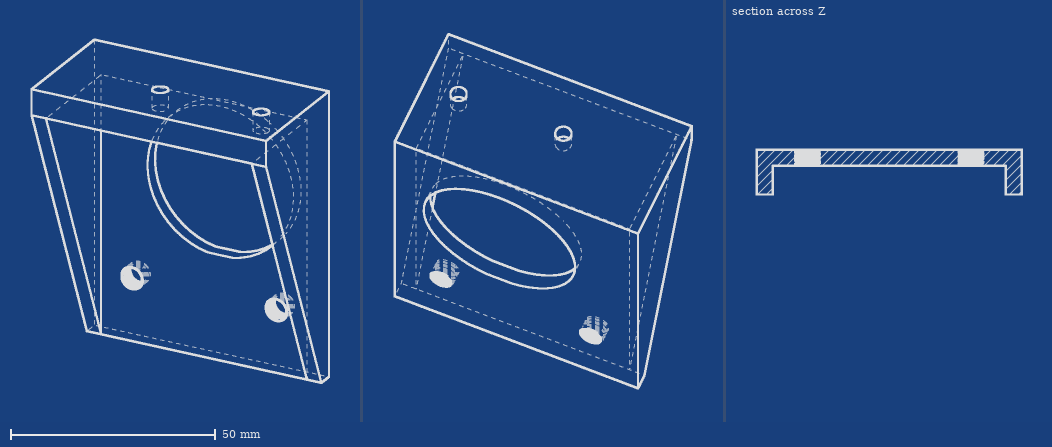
import cadquery as cq
import math

WIDTH = 65.0
DEPTH = 33.0
HEIGHT = 77.0

WALL = 4.0
TOP_THICKNESS = 7.0
BACK_PLATE_Y = DEPTH - WALL

WINDOW_DIAMETER = 40.45
WINDOW_X = 37.05
WINDOW_Z = 48.37
WINDOW_FLAT_WIDTH = 7.0

THREAD_MAJOR = 6.0
THREAD_MINOR = 5.0
THREAD_PITCH = 1.0
THREAD_LEAD_IN = 1.1 * THREAD_PITCH
THREAD_LENGTH = WALL + 3 * THREAD_PITCH
THREAD_ROOT_HALF = 0.15 * THREAD_PITCH
THREAD_MOUTH_HALF = 0.45 * THREAD_PITCH
THREAD_OVERLAP = 0.2
COUNTERSINK_DIAMETER = 5.9
THREAD_SPACING = 40.0
THREAD_FIRST_X = (WIDTH - THREAD_SPACING) / 2
THREAD_XS = (THREAD_FIRST_X, THREAD_FIRST_X + THREAD_SPACING)
THREAD_Z = 17.0

PIN_DIAMETER = 4.0
PIN_DEPTH = 5.0
PIN_Y = 14.5
PIN_XS = (28.0, 56.0)

BACKWARD = cq.Vector(0, 1, 0)
DOWNWARD = cq.Vector(0, 0, -1)


def bracket_body():
    """Wedge-shaped bracket with a cavity between the gussets."""
    outline = [
        (DEPTH, 0),
        (DEPTH, HEIGHT),
        (0, HEIGHT),
        (0, HEIGHT - TOP_THICKNESS),
        (BACK_PLATE_Y, 0),
    ]
    wedge = cq.Workplane("YZ").polyline(outline).close().extrude(WIDTH)
    cavity = cq.Workplane("XY").box(
        WIDTH - 2 * WALL, BACK_PLATE_Y, HEIGHT - TOP_THICKNESS, centered=False
    )
    return wedge.cut(cavity.translate((WALL, 0, 0)))


def window_cutter():
    """Round window whose lowest stretch is a level chord."""
    radius = WINDOW_DIAMETER / 2
    half_flat = WINDOW_FLAT_WIDTH / 2
    flat_drop = math.sqrt(radius**2 - half_flat**2)
    profile = (
        cq.Workplane("XZ", origin=(WINDOW_X, DEPTH, WINDOW_Z))
        .moveTo(-half_flat, -flat_drop)
        .threePointArc((0, radius), (half_flat, -flat_drop))
        .close()
    )
    return profile.extrude(WALL)


def thread_groove():
    """Helical groove along Y that overruns both faces of the back plate, which starts at y = 0."""
    root_radius = THREAD_MAJOR / 2
    crest_radius = THREAD_MINOR / 2
    inner_radius = crest_radius - THREAD_OVERLAP
    profile = [
        (inner_radius, -THREAD_MOUTH_HALF),
        (root_radius, -THREAD_ROOT_HALF),
        (root_radius, THREAD_ROOT_HALF),
        (inner_radius, THREAD_MOUTH_HALF),
    ]
    helix = cq.Workplane(cq.Wire.makeHelix(THREAD_PITCH, THREAD_LENGTH, crest_radius))
    groove = cq.Workplane("XZ").polyline(profile).close().sweep(helix, isFrenet=True)
    along_y = groove.rotate((0, 0, 0), (1, 0, 0), -90)
    return along_y.translate((0, -THREAD_LEAD_IN, 0))


def cut_threaded_hole(body, x):
    """Threaded through hole in the back plate with a small 45 degree countersink in front."""
    mouth = cq.Vector(x, BACK_PLATE_Y, THREAD_Z)
    bore_radius = THREAD_MINOR / 2
    sink_radius = COUNTERSINK_DIAMETER / 2
    bore = cq.Solid.makeCylinder(bore_radius, WALL, mouth, BACKWARD)
    countersink = cq.Solid.makeCone(
        sink_radius, bore_radius, sink_radius - bore_radius, mouth, BACKWARD
    )
    grooved = body.cut(thread_groove().translate(mouth))
    return grooved.cut(cq.Workplane(bore)).cut(cq.Workplane(countersink))


def cut_pin_hole(body, x):
    """Blind hole in the top face."""
    mouth = cq.Vector(x, PIN_Y, HEIGHT)
    pin = cq.Solid.makeCylinder(PIN_DIAMETER / 2, PIN_DEPTH, mouth, DOWNWARD)
    return body.cut(cq.Workplane(pin))


result = bracket_body().cut(window_cutter())
for thread_x in THREAD_XS:
    result = cut_threaded_hole(result, thread_x)
for pin_x in PIN_XS:
    result = cut_pin_hole(result, pin_x)